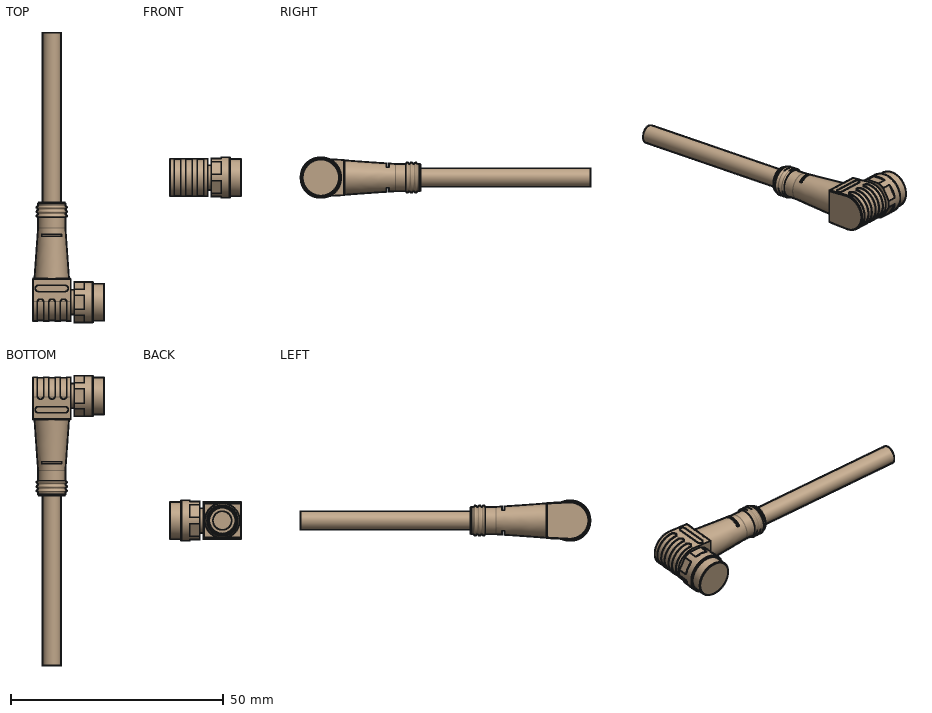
import cadquery as cq
import math


housing_length = 9.0
housing_radius = 4.45
housing_back = 5.6
housing_taper = 3.0
housing_chamfer = 0.2

groove_count = 3
groove_width = 1.45
groove_depth = 0.15
groove_pitch = 2.72
groove_first = 1.85
groove_straight_end = 0.2
groove_end_rise = 0.55

recess_length = 7.75
recess_width = 1.45
recess_depth = 0.1
recess_y = 3.25

neck_radius = 5.9 / 2
nut_start = 9.8
nut_end = 14.3
nut_radius = 9.6 / 2
nut_chamfer = 0.2
flat_count = 6
flat_distance = 4.5
flat_end = 12.1
sleeve_end = 16.9
sleeve_radius = 8.8 / 2
sleeve_chamfer = 0.15

cable_x = housing_length / 2
cable_radius = 4.4 / 2
total_length_y = 68.3
cable_end = total_length_y - nut_radius
relief_base_radius = 4.1
collar_radius = 6.5 / 2
collar_start = 17.5
collar_end = 23.5
collar_chamfer_depth = 0.2
collar_chamfer_length = 0.35
bead_outer_radius = 7.2 / 2
bead_count = 3
bead_pitch = 1.03
bead_first = 20.3
bead_rise_length = 0.3
notch_start = 15.5
notch_end = 16.0
notch_floor = 2.45

clearance = 1.0


def x_cylinder(start, end, radius):
    return cq.Workplane("YZ", origin=(start, 0, 0)).circle(radius).extrude(end - start)


def housing_prism(inset):
    """D-shaped prism: a round nose with tangent sides that taper toward the cable."""
    taper = math.radians(housing_taper)
    radius = housing_radius - inset
    tangent_y = radius * math.sin(taper)
    tangent_z = radius * math.cos(taper)
    back_z = tangent_z - (housing_back - tangent_y) * math.tan(taper)
    return (
        cq.Workplane("YZ")
        .moveTo(housing_back, -back_z)
        .lineTo(tangent_y, -tangent_z)
        .threePointArc((-radius, 0), (tangent_y, tangent_z))
        .lineTo(housing_back, back_z)
        .close()
        .extrude(housing_length)
    )


def extrude_through_housing(sketch):
    return sketch.extrude(housing_radius + clearance, both=True)


def groove_cutter(center_x):
    """Tall block over one groove: straight sides closed by a shallow arc on the cable side."""
    left = center_x - groove_width / 2
    right = center_x + groove_width / 2
    front = -housing_radius - clearance
    outline = (
        cq.Workplane("XY")
        .moveTo(left, front)
        .lineTo(left, groove_straight_end)
        .threePointArc((center_x, groove_straight_end + groove_end_rise), (right, groove_straight_end))
        .lineTo(right, front)
        .close()
    )
    return extrude_through_housing(outline)


def make_housing():
    housing = housing_prism(0).faces("<X or >Y").chamfer(housing_chamfer)
    groove_core = housing_prism(groove_depth)
    for index in range(groove_count):
        cutter = groove_cutter(groove_first + index * groove_pitch).cut(groove_core)
        housing = housing.cut(cutter)

    recess_core = housing_prism(recess_depth)
    recess_plan = cq.Workplane("XY").center(cable_x, recess_y).slot2D(recess_length, recess_width)
    recess = extrude_through_housing(recess_plan)
    return housing.cut(recess.cut(recess_core))


def make_coupling():
    neck = x_cylinder(housing_length / 2, nut_start + clearance, neck_radius)
    nut = x_cylinder(nut_start, nut_end, nut_radius).faces(">X").chamfer(nut_chamfer)
    flat_length = flat_end - nut_start
    for index in range(flat_count):
        cutter = (
            cq.Workplane("XY")
            .box(flat_length, 2 * nut_radius, clearance, centered=(False, True, False))
            .translate((nut_start, 0, flat_distance))
            .rotate((0, 0, 0), (1, 0, 0), index * 360 / flat_count)
        )
        nut = nut.cut(cutter)
    sleeve = x_cylinder(flat_end, sleeve_end, sleeve_radius).faces(">X").chamfer(sleeve_chamfer)
    return neck.union(nut).union(sleeve)


def make_cable():
    """Cable, collar and tapered strain relief turned about the cable axis."""
    relief_base = housing_back - clearance
    profile = (
        cq.Workplane("XY")
        .moveTo(0, relief_base)
        .lineTo(relief_base_radius, relief_base)
        .lineTo(relief_base_radius, housing_back)
        .lineTo(collar_radius, collar_start)
    )
    along_axis = (0, 1)
    rising = (1, 1)
    wave_points = [(collar_radius, bead_first - bead_rise_length)]
    wave_tangents = [rising]
    for index in range(bead_count):
        bead_y = bead_first + index * bead_pitch
        wave_points.append((bead_outer_radius, bead_y))
        wave_points.append((collar_radius, bead_y + bead_pitch / 2))
        wave_tangents += [along_axis, along_axis]
    profile = profile.lineTo(*wave_points[0])
    profile = profile.spline(wave_points[1:], tangents=wave_tangents, includeCurrent=True)
    profile = (
        profile.lineTo(collar_radius, collar_end - collar_chamfer_length)
        .lineTo(collar_radius - collar_chamfer_depth, collar_end)
        .lineTo(cable_radius, collar_end)
        .lineTo(cable_radius, cable_end)
        .lineTo(0, cable_end)
        .close()
    )
    cable = profile.revolve(360, (0, 0, 0), (0, 1, 0))

    notch_length = notch_end - notch_start
    notch = (
        cq.Workplane("XY")
        .box(2 * relief_base_radius, notch_length, relief_base_radius, centered=(True, False, False))
        .translate((0, notch_start, notch_floor))
    )
    cable = cable.cut(notch).cut(notch.mirror("XY"))
    return cable.translate((cable_x, 0, 0))


result = make_housing().union(make_coupling()).union(make_cable())